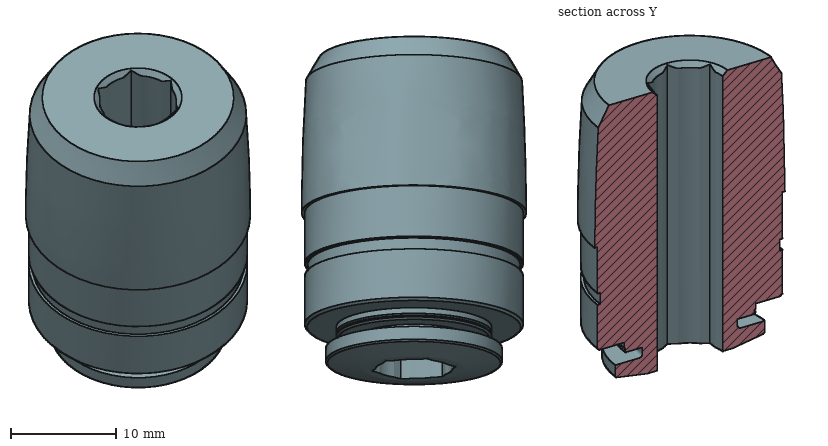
import cadquery as cq
import math

TOTAL_HEIGHT = 30.3

FOOT_DIAMETER = 16.8
FOOT_FLAT_DIAMETER = 9.53
FOOT_BEVEL_HEIGHT = 0.57
FOOT_EDGE_CHAMFER = 0.17
FOOT_TOP = 2.0

NECK_DIAMETER = 10.7
NECK_FILLET = 0.35

COLLAR_DIAMETER = 14.8
COLLAR_BOTTOM = 3.0
COLLAR_CHAMFER = 0.2
COLLAR_GROOVE_CENTER = 3.4
COLLAR_GROOVE_DEPTH = 0.15

BODY_DIAMETER = 20.8
BODY_BOTTOM = 4.1
BODY_CHAMFER = 0.25
GROOVE_DIAMETER = 20.2
GROOVE_BOTTOM = 9.1
GROOVE_TOP = 10.25
GROOVE_CHAMFER = 0.1

SLEEVE_BOTTOM = 15.3
SLEEVE_BOTTOM_DIAMETER = 21.38
SLEEVE_TOP_DIAMETER = 20.6
SLEEVE_BULGE = 0.085
CONE_HEIGHT = 2.1
TOP_DIAMETER = 18.2

HEX_SIDES = 6
HEX_ACROSS_FLATS = 7.0
BORE_DIAMETER = 7.3
COUNTERSINK_DIAMETER = 8.35
COUNTERSINK_SLOPE = 45


def make_profile():
    """Half outline of the turned part, in the XZ plane."""
    foot_radius = FOOT_DIAMETER / 2
    neck_radius = NECK_DIAMETER / 2
    collar_radius = COLLAR_DIAMETER / 2
    body_radius = BODY_DIAMETER / 2
    groove_radius = GROOVE_DIAMETER / 2
    sleeve_radius = SLEEVE_BOTTOM_DIAMETER / 2
    cone_radius = SLEEVE_TOP_DIAMETER / 2
    cone_bottom = TOTAL_HEIGHT - CONE_HEIGHT
    sleeve_middle = (
        (sleeve_radius + cone_radius) / 2 + SLEEVE_BULGE,
        (SLEEVE_BOTTOM + cone_bottom) / 2,
    )
    fillet_inset = NECK_FILLET * (1 - math.sqrt(0.5))

    return (
        cq.Workplane("XZ")
        .moveTo(0, 0)
        .lineTo(FOOT_FLAT_DIAMETER / 2, 0)
        .lineTo(foot_radius - FOOT_EDGE_CHAMFER, FOOT_BEVEL_HEIGHT)
        .lineTo(foot_radius, FOOT_BEVEL_HEIGHT + FOOT_EDGE_CHAMFER)
        .lineTo(foot_radius, FOOT_TOP)
        .lineTo(neck_radius + NECK_FILLET, FOOT_TOP)
        .threePointArc(
            (neck_radius + fillet_inset, FOOT_TOP + fillet_inset),
            (neck_radius, FOOT_TOP + NECK_FILLET),
        )
        .lineTo(neck_radius, COLLAR_BOTTOM)
        .lineTo(collar_radius - COLLAR_CHAMFER, COLLAR_BOTTOM)
        .lineTo(collar_radius, COLLAR_BOTTOM + COLLAR_CHAMFER)
        .lineTo(collar_radius, COLLAR_GROOVE_CENTER - COLLAR_GROOVE_DEPTH)
        .lineTo(collar_radius - COLLAR_GROOVE_DEPTH, COLLAR_GROOVE_CENTER)
        .lineTo(collar_radius, COLLAR_GROOVE_CENTER + COLLAR_GROOVE_DEPTH)
        .lineTo(collar_radius, BODY_BOTTOM)
        .lineTo(body_radius - BODY_CHAMFER, BODY_BOTTOM)
        .lineTo(body_radius, BODY_BOTTOM + BODY_CHAMFER)
        .lineTo(body_radius, GROOVE_BOTTOM)
        .lineTo(groove_radius, GROOVE_BOTTOM)
        .lineTo(groove_radius, GROOVE_TOP)
        .lineTo(body_radius - GROOVE_CHAMFER, GROOVE_TOP)
        .lineTo(body_radius, GROOVE_TOP + GROOVE_CHAMFER)
        .lineTo(body_radius, SLEEVE_BOTTOM)
        .lineTo(sleeve_radius, SLEEVE_BOTTOM)
        .threePointArc(sleeve_middle, (cone_radius, cone_bottom))
        .lineTo(TOP_DIAMETER / 2, TOTAL_HEIGHT)
        .lineTo(0, TOTAL_HEIGHT)
        .close()
    )


def make_turned_part():
    return make_profile().revolve(360, (0, 0), (0, 1))


def make_hex_hole():
    """Hexagon with corners on the Y axis, joined with the round bore."""
    across_corners = HEX_ACROSS_FLATS / math.cos(math.pi / HEX_SIDES)
    hexagon = (
        cq.Workplane("XY")
        .polygon(HEX_SIDES, across_corners)
        .extrude(TOTAL_HEIGHT)
        .rotate((0, 0, 0), (0, 0, 1), 180 / HEX_SIDES)
    )
    bore = cq.Workplane("XY").circle(BORE_DIAMETER / 2).extrude(TOTAL_HEIGHT)
    return hexagon.union(bore)


def make_countersink():
    """Cone that opens the mouth of the hole, pointing down."""
    radius = COUNTERSINK_DIAMETER / 2
    depth = radius * math.tan(math.radians(COUNTERSINK_SLOPE))
    return (
        cq.Workplane("XZ")
        .moveTo(0, TOTAL_HEIGHT)
        .lineTo(radius, TOTAL_HEIGHT)
        .lineTo(0, TOTAL_HEIGHT - depth)
        .close()
        .revolve(360, (0, 0), (0, 1))
    )


result = make_turned_part().cut(make_hex_hole()).cut(make_countersink())